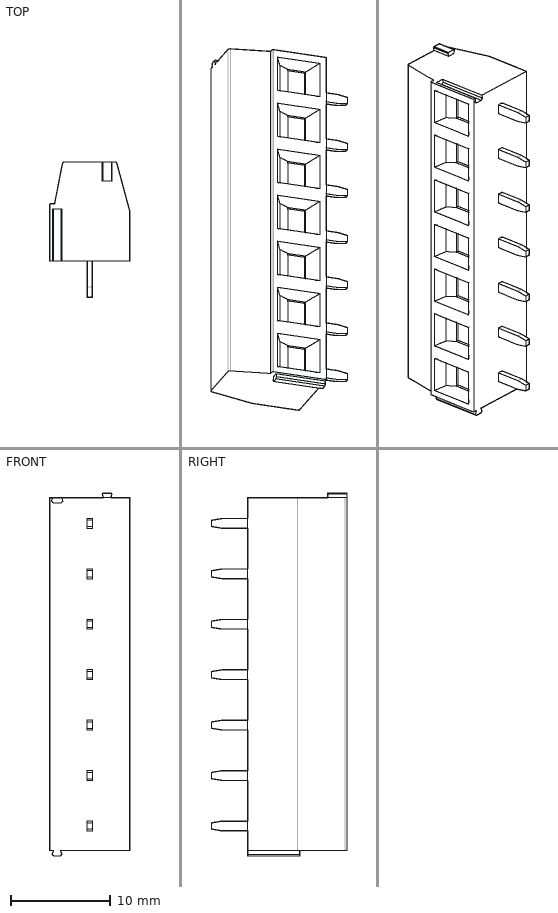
import cadquery as cq

pole_count = 7
pitch = 5.08
pole_offset = -0.06
body_width = 8.1
body_depth = 10.0
body_height = pole_count * pitch
left_face = -body_width / 2
right_face = body_width / 2
top_face = body_height / 2
bottom_face = -body_height / 2

left_ledge_y = 5.8
ledge_inset = 0.5
back_left_x = left_face + 1.32
back_right_x = left_face + 6.75
right_shoulder_y = 5.0
back_corner_radius = 0.25
ledge_corner_radius = 0.15

funnel_front_y = 0.7
funnel_back_y = 5.25
funnel_depth = 1.45
funnel_bend_depth = 1.05
funnel_bend_y = 4.61
funnel_mouth_height = 3.65
cavity_front_y = 1.7
cavity_back_y = 3.6
cavity_height = 2.66
cavity_depth = 1.75

pin_thickness = 0.55
pin_width = 1.0
pin_tip_width = 0.65
pin_length = 3.65
pin_taper_length = 1.05

rail_x = left_face + 0.75
rail_length = 5.25
rail_height = 0.55
rail_neck_width = 0.75
rail_widest = 1.0
rail_tip_width = 0.7
rail_widest_height = 0.38
groove_x = left_face + 0.77
groove_neck_width = 0.93
groove_widest = 1.14
groove_bottom_width = 0.74
tab_x = left_face + 5.8
tab_length = 1.95
tab_height = 0.45
tab_neck_width = 0.78
tab_widest = 1.0
tab_tip_width = 0.85
tab_widest_height = 0.37


def make_housing():
    """Prism along Z that narrows toward the back, with a ledge on the left."""
    outline = [
        (left_face, 0),
        (right_face, 0),
        (right_face, right_shoulder_y),
        (back_right_x, body_depth),
        (back_left_x, body_depth),
        (left_face + ledge_inset, left_ledge_y),
        (left_face, left_ledge_y),
    ]
    housing = cq.Workplane("XY").polyline(outline).close().extrude(body_height / 2, both=True)
    for corner_x in (back_left_x, back_right_x):
        back_edge = cq.NearestToPointSelector((corner_x, body_depth, 0))
        housing = housing.edges(back_edge).fillet(back_corner_radius)
    ledge_edge = cq.NearestToPointSelector((left_face, left_ledge_y, 0))
    return housing.edges(ledge_edge).fillet(ledge_corner_radius)


def make_wire_entry(center_z):
    """Funnel with a bent +Y wall, narrowing to a straight-sided cavity."""
    funnel_end_x = left_face + funnel_depth
    side_outline = [
        (left_face, funnel_front_y),
        (funnel_end_x, cavity_front_y),
        (funnel_end_x, cavity_back_y),
        (left_face + funnel_bend_depth, funnel_bend_y),
        (left_face, funnel_back_y),
    ]
    depth_prism = (
        cq.Workplane("XY")
        .polyline(side_outline)
        .close()
        .extrude(funnel_mouth_height / 2, both=True)
    )
    height_outline = [
        (left_face, -funnel_mouth_height / 2),
        (funnel_end_x, -cavity_height / 2),
        (funnel_end_x, cavity_height / 2),
        (left_face, funnel_mouth_height / 2),
    ]
    height_prism = cq.Workplane("XZ").polyline(height_outline).close().extrude(-body_depth)
    cavity = cq.Workplane("XY").box(
        cavity_depth - funnel_depth,
        cavity_back_y - cavity_front_y,
        cavity_height,
        centered=(False, False, True),
    ).translate((funnel_end_x, cavity_front_y, 0))
    return depth_prism.intersect(height_prism).union(cavity).translate((0, 0, center_z))


def make_pin(center_z):
    """Flat solder pin, tapered in Z toward its tip."""
    taper_start_y = pin_taper_length - pin_length
    outline = [
        (0, -pin_width / 2),
        (0, pin_width / 2),
        (taper_start_y, pin_width / 2),
        (-pin_length, pin_tip_width / 2),
        (-pin_length, -pin_tip_width / 2),
        (taper_start_y, -pin_width / 2),
    ]
    pin = cq.Workplane("YZ").polyline(outline).close().extrude(pin_thickness / 2, both=True)
    return pin.translate((0, 0, center_z))


def make_dovetail(center_x, widths, heights, start_y, length):
    """Rail along +Y that flares from its neck, then narrows to its tip.

    Widths and Z heights are both listed as (neck, widest, tip).
    """
    levels = list(zip(widths, heights))
    left_side = [(center_x - width / 2, z) for width, z in levels]
    right_side = [(center_x + width / 2, z) for width, z in reversed(levels)]
    rail = cq.Workplane("XZ").polyline(left_side + right_side).close().extrude(-length)
    return rail.translate((0, start_y, 0))


bottom_rail = make_dovetail(
    rail_x,
    (rail_neck_width, rail_widest, rail_tip_width),
    (bottom_face, bottom_face - rail_widest_height, bottom_face - rail_height),
    0,
    rail_length,
)
top_groove = make_dovetail(
    groove_x,
    (groove_neck_width, groove_widest, groove_bottom_width),
    (top_face, top_face - rail_widest_height, top_face - rail_height),
    0,
    rail_length,
)
top_tab = make_dovetail(
    tab_x,
    (tab_neck_width, tab_widest, tab_tip_width),
    (top_face, top_face + tab_widest_height, top_face + tab_height),
    body_depth - tab_length,
    tab_length,
)

result = make_housing().union(bottom_rail).union(top_tab).cut(top_groove)
first_pole_z = bottom_face + pitch / 2 + pole_offset
for pole in range(pole_count):
    pole_z = first_pole_z + pole * pitch
    result = result.cut(make_wire_entry(pole_z)).union(make_pin(pole_z))